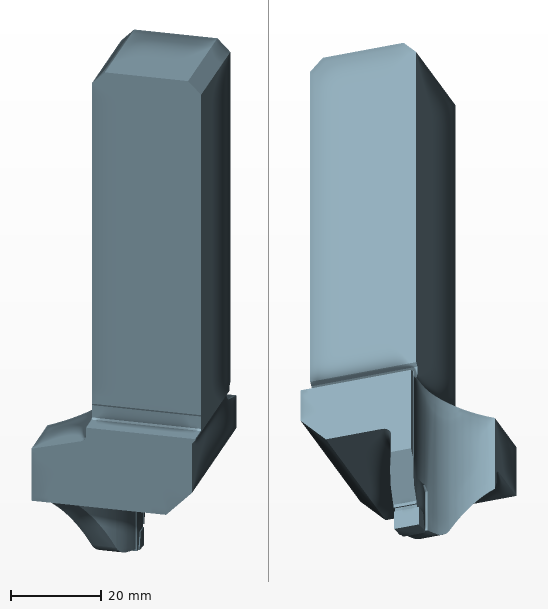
import cadquery as cq
import math

overall_height = 124.0
shank_width = 25.0
shank_top_chamfer = 3.0

head_left = -12.5
head_front = -5.0
head_back = 33.1
head_bottom = 21.2
head_left_height = 33.7
head_back_height = 35.0
slope_angle = 15.0
ledge_height = 40.2
left_slope_fillet = 1.5
back_slope_fillet = 3.0
relief_depth = 0.7
right_relief_height = 39.8
back_relief_height = 41.7
corner_chamfer = 6.0

front_relief_top = 43.9
front_relief_depth = 0.1
front_relief_runout = 0.4
ledge_bevel = 0.4

curve_center_y = 24.7
inner_radius = 16.5
inner_crest_x = -0.2
outer_radius = 16.9
outer_crest_x = 5.2
blade_root_fillet = 1.9
rear_flat_x = -1.7
rear_flat_start_y = 31.7
front_flank_angle = 25.0
front_flank_top_y = 7.5
front_flank_top_z = 18.4
clearance_angle = 7.0
underside_gap = 0.5
flank_corner_radius = 3.6
jaw_front_y = 25.3
jaw_tip_y = 25.7
jaw_bottom = 5.1
jaw_tip_height = 5.8
jaw_flank_top = 14.9

insert_front_y = 20.2
insert_top = 12.2
insert_corner_chamfer = 1.1
insert_body_left = -0.2
insert_body_right = 5.0
cutting_left = -0.6
cutting_right = outer_crest_x
cutting_edge_y = 25.0
cutting_head_height = 4.5
cutting_head_top_y = 22.3
cutting_head_bottom_y = 21.3

slope = math.tan(math.radians(slope_angle))
clearance = math.tan(math.radians(clearance_angle))
flank = math.tan(math.radians(front_flank_angle))


def underside(y):
    """Height of the insert underside at a given Y."""
    return (cutting_edge_y - y) * clearance


def extrude_along_x(points, x_start, x_end):
    """Prism with a (Y, Z) outline between two X positions."""
    return cq.Workplane("YZ").workplane(offset=x_start).polyline(points).close().extrude(x_end - x_start)


def vertical_cylinder(crest_x, radius, bottom, top):
    """Upright cylinder placed by its furthest point in +X."""
    base = cq.Workplane("XY", origin=(crest_x - radius, curve_center_y, bottom))
    return base.circle(radius).extrude(top - bottom)


def make_shank_and_head():
    """Prism of the front outline, trimmed to the side outline."""
    head_right = shank_width - relief_depth
    front_outline = [
        (head_left, head_bottom),
        (head_right - corner_chamfer, head_bottom),
        (head_right, head_bottom + corner_chamfer),
        (head_right, right_relief_height - relief_depth),
        (shank_width, right_relief_height),
        (shank_width, overall_height - shank_top_chamfer),
        (shank_width - shank_top_chamfer, overall_height),
        (shank_top_chamfer, overall_height),
        (0, overall_height - shank_top_chamfer),
        (0, head_left_height - head_left * slope),
        (head_left, head_left_height),
    ]
    front_prism = (
        cq.Workplane("XZ", origin=(0, head_back, 0))
        .polyline(front_outline).close()
        .extrude(head_back - head_front)
    )
    left_corner = cq.selectors.NearestToPointSelector(
        (0, (head_front + head_back) / 2, head_left_height - head_left * slope))
    front_prism = front_prism.edges(left_corner).fillet(left_slope_fillet)

    relief_y = shank_width - relief_depth
    slope_top = head_back_height + (head_back - relief_y) * slope
    side_outline = [
        (head_front, head_bottom),
        (head_back, head_bottom),
        (head_back, head_back_height),
        (relief_y, slope_top),
        (relief_y, back_relief_height - relief_depth),
        (shank_width, back_relief_height),
        (shank_width, overall_height),
        (0, overall_height),
        (0, front_relief_top),
        (front_relief_depth, front_relief_top - front_relief_runout),
        (front_relief_depth, ledge_height + ledge_bevel),
        (front_relief_depth - ledge_bevel, ledge_height),
        (head_front, ledge_height),
    ]
    side_prism = extrude_along_x(side_outline, head_left, shank_width)
    back_corner = cq.selectors.NearestToPointSelector(
        ((head_left + shank_width) / 2, relief_y, slope_top))
    side_prism = side_prism.edges(back_corner).fillet(back_slope_fillet)
    return front_prism.intersect(side_prism)


def add_blade(body):
    """Cylindrical blade under the head, blended into the head's underside."""
    column = vertical_cylinder(outer_crest_x, outer_radius, 0, head_bottom)
    span = (
        cq.Workplane("XY")
        .box(outer_crest_x - head_left, head_back, head_bottom, centered=False)
        .translate((head_left, 0, 0))
    )
    body = body.union(column.intersect(span))
    root = cq.selectors.NearestToPointSelector((outer_crest_x, curve_center_y, head_bottom))
    return body.edges(root).fillet(blade_root_fillet)


def trim_blade_flanks(body):
    """Slanted front flank, sloping underside and rear jaw flank."""
    corner_y = (
        (front_flank_top_z - underside_gap + front_flank_top_y / flank - cutting_edge_y * clearance)
        / (1 / flank - clearance)
    )
    corner_z = underside(corner_y) + underside_gap
    start_y = front_flank_top_y - (head_bottom - front_flank_top_z) * flank
    below = -overall_height
    waste_outline = [
        (start_y, head_bottom),
        (corner_y, corner_z),
        (insert_front_y, underside(insert_front_y) + underside_gap),
        (insert_front_y, jaw_bottom),
        (jaw_tip_y, jaw_bottom),
        (jaw_tip_y, jaw_tip_height),
        (head_back, jaw_flank_top),
        (head_back, below),
        (start_y, below),
    ]
    waste = extrude_along_x(waste_outline, head_left, shank_width)
    corner = cq.selectors.NearestToPointSelector(
        ((head_left + shank_width) / 2, corner_y, corner_z))
    return body.cut(waste.edges(corner).fillet(flank_corner_radius))


def hollow_left_side(body):
    """Round hollow through head and blade, with a narrow flat at its rear end."""
    hollow = vertical_cylinder(inner_crest_x, inner_radius, 0, overall_height)
    flat = (
        cq.Workplane("XY")
        .box(rear_flat_x - head_left, head_back - rear_flat_start_y, overall_height, centered=False)
        .translate((head_left, rear_flat_start_y, 0))
    )
    return body.cut(hollow).cut(flat)


def insert_outline():
    """(Y, Z) outline shared by the insert body and its pocket."""
    return [
        (insert_front_y, underside(insert_front_y)),
        (cutting_edge_y, 0),
        (cutting_edge_y, cutting_head_height),
        (jaw_front_y, jaw_bottom),
        (jaw_front_y, insert_top - insert_corner_chamfer),
        (cutting_edge_y, insert_top),
        (insert_front_y + insert_corner_chamfer, insert_top),
        (insert_front_y, insert_top - insert_corner_chamfer),
    ]


def make_holder():
    body = make_shank_and_head()
    body = add_blade(body)
    body = trim_blade_flanks(body)
    body = hollow_left_side(body)
    pocket = extrude_along_x(insert_outline(), head_left, shank_width)
    return body.cut(pocket)


def make_insert():
    """Narrow clamped body with a wider cutting head at its lower rear corner."""
    body = extrude_along_x(insert_outline(), insert_body_left, insert_body_right)
    head_profile = [
        (cutting_head_bottom_y, underside(cutting_head_bottom_y)),
        (cutting_edge_y, 0),
        (cutting_edge_y, cutting_head_height),
        (cutting_head_top_y, cutting_head_height),
    ]
    return body.union(extrude_along_x(head_profile, cutting_left, cutting_right))


holder = make_holder().solids()
cutting_insert = make_insert().solids()
result = cq.Compound.makeCompound([holder.val(), cutting_insert.val()])